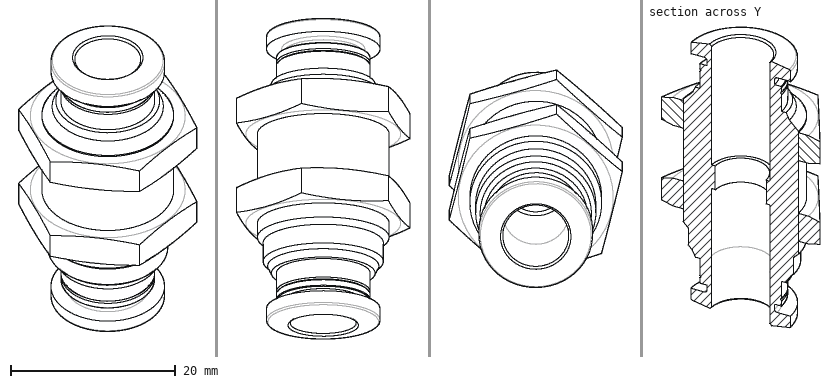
import cadquery as cq
import math

overall_length = 37.4
half_length = overall_length / 2

tube_bore_dia = 8.0
tube_bore_depth = 17.0
through_bore_dia = 7.0
bore_lead_in = 0.27

flange_dia = 13.8
flange_edge_radius = 0.22
dome_angle = math.radians(10)
flange_bottom_depth = 2.15
neck_dia = 9.4
neck_fillet_radius = 0.35

sleeve_dia = 11.4
ring_top_depth = 3.15
ring_chamfer = 0.1
ring_bottom_depth = 3.95
groove_width = 0.34
groove_depth = 0.2

shoulder_top_dia = 12.6
shoulder_top_depth = 6.65
shoulder_break_dia = 13.5
shoulder_break_depth = 7.57

barrel_dia = 16.0
lower_barrel_dia = 14.6
barrel_step_depth = 11.2

nut_across_flats = 19.0
nut_across_corners = nut_across_flats / math.cos(math.pi / 6)
nut_height = 4.0
nut_washer_face_dia = 18.8
nut_chamfer_angle = math.radians(15)
upper_nut_base_z = 5.7
lower_nut_base_z = -5.7


def make_end():
    """Upper end of the fitting: button, ring, sleeve and steep cone, with the tube bore."""
    bore_radius = tube_bore_dia / 2
    lead_in_radius = bore_radius + bore_lead_in
    flange_radius = flange_dia / 2
    neck_radius = neck_dia / 2
    sleeve_radius = sleeve_dia / 2

    arc_centre_radius = flange_radius - flange_edge_radius
    arc_start_radius = arc_centre_radius + flange_edge_radius * math.sin(dome_angle)
    arc_start_z = half_length - (arc_start_radius - lead_in_radius) * math.tan(dome_angle)
    arc_end_z = arc_start_z - flange_edge_radius * math.cos(dome_angle)

    flange_bottom_z = half_length - flange_bottom_depth
    neck_fillet_end = (neck_radius, flange_bottom_z - neck_fillet_radius)
    ring_top_z = half_length - ring_top_depth
    groove_top_z = half_length - ring_bottom_depth
    shoulder_top_z = half_length - shoulder_top_depth
    shoulder_break_z = half_length - shoulder_break_depth

    return (
        cq.Workplane("XZ")
        .moveTo(bore_radius, half_length - bore_lead_in)
        .lineTo(lead_in_radius, half_length)
        .lineTo(arc_start_radius, arc_start_z)
        .tangentArcPoint((flange_radius, arc_end_z), relative=False)
        .lineTo(flange_radius, flange_bottom_z)
        .lineTo(neck_radius + neck_fillet_radius, flange_bottom_z)
        .tangentArcPoint(neck_fillet_end, relative=False)
        .lineTo(neck_radius, ring_top_z)
        .lineTo(sleeve_radius - ring_chamfer, ring_top_z)
        .lineTo(sleeve_radius, ring_top_z - ring_chamfer)
        .lineTo(sleeve_radius, groove_top_z)
        .lineTo(sleeve_radius - groove_depth, groove_top_z - groove_width / 2)
        .lineTo(sleeve_radius, groove_top_z - groove_width)
        .lineTo(sleeve_radius, shoulder_top_z)
        .lineTo(shoulder_top_dia / 2, shoulder_top_z)
        .lineTo(shoulder_break_dia / 2, shoulder_break_z)
        .lineTo(bore_radius, shoulder_break_z)
        .close()
        .revolve(360, (0, 0), (0, 1))
    )


def make_barrel():
    """Stepped barrel between the two steep cones, with 45 degree cones and the stepped bore."""
    barrel_radius = barrel_dia / 2
    lower_radius = lower_barrel_dia / 2
    break_radius = shoulder_break_dia / 2
    break_z = half_length - shoulder_break_depth
    step_z = barrel_step_depth - half_length
    stop_z = half_length - tube_bore_depth
    outline = [
        (tube_bore_dia / 2, break_z),
        (break_radius, break_z),
        (barrel_radius, break_z - (barrel_radius - break_radius)),
        (barrel_radius, step_z),
        (lower_radius, step_z - (barrel_radius - lower_radius)),
        (lower_radius, -break_z + (lower_radius - break_radius)),
        (break_radius, -break_z),
        (tube_bore_dia / 2, -break_z),
        (tube_bore_dia / 2, -stop_z),
        (through_bore_dia / 2, -stop_z),
        (through_bore_dia / 2, stop_z),
        (tube_bore_dia / 2, stop_z),
    ]
    return cq.Workplane("XZ").polyline(outline).close().revolve(360, (0, 0), (0, 1))


def make_fitting_body():
    upper_end = make_end()
    lower_end = upper_end.mirror("XY")
    return make_barrel().union(upper_end).union(lower_end)


def make_hex_nut(base_z):
    """Hex nut with corners on the X axis and both faces chamfered conically."""
    face_radius = nut_washer_face_dia / 2
    corner_radius = nut_across_corners / 2
    corner_drop = (corner_radius - face_radius) * math.tan(nut_chamfer_angle)
    chamfer_envelope = (
        cq.Workplane("XZ")
        .polyline([
            (0, 0),
            (face_radius, 0),
            (corner_radius, corner_drop),
            (corner_radius, nut_height - corner_drop),
            (face_radius, nut_height),
            (0, nut_height),
        ])
        .close()
        .revolve(360, (0, 0), (0, 1))
    )
    hexagon = cq.Workplane("XY").polygon(6, nut_across_corners).extrude(nut_height)
    bore = cq.Workplane("XY").circle(barrel_dia / 2).extrude(nut_height)
    return hexagon.intersect(chamfer_envelope).cut(bore).translate((0, 0, base_z))


fitting_body = make_fitting_body()
hex_nuts = [make_hex_nut(base_z) for base_z in (upper_nut_base_z, lower_nut_base_z)]

result = cq.Compound.makeCompound([fitting_body.val(), *[nut.val() for nut in hex_nuts]])